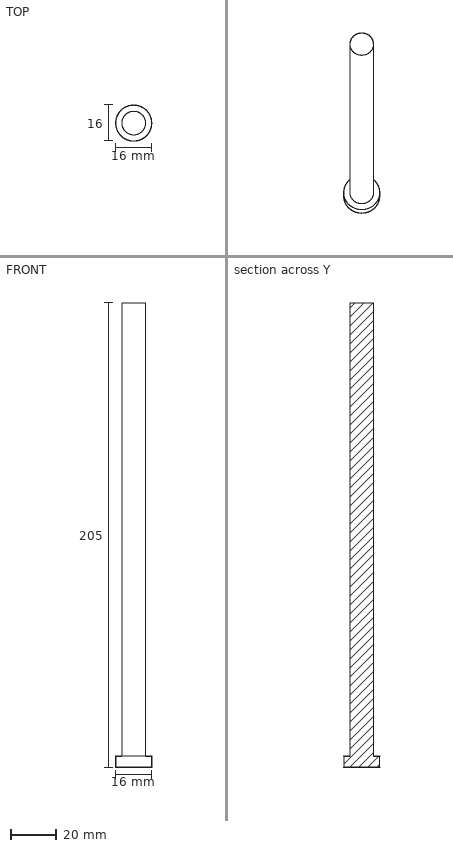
import cadquery as cq

total_length = 205.0
head_diameter = 16.0
head_height = 5.0
shank_diameter = 10.5

head = cq.Workplane("XY").circle(head_diameter / 2).extrude(head_height)
shank = cq.Workplane("XY").circle(shank_diameter / 2).extrude(total_length)

result = head.union(shank)